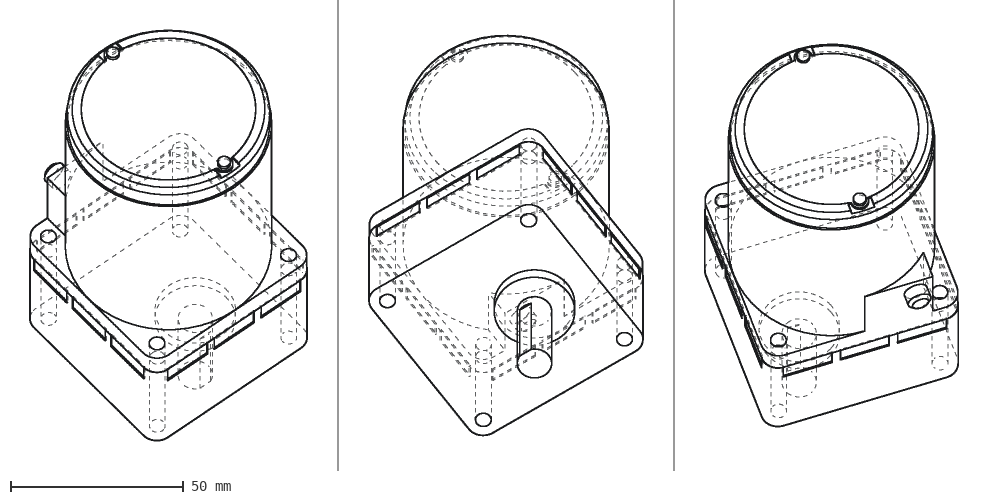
import cadquery as cq

box_bottom = 32.1
split_height = 66.0
flange_top = 73.0
block_top = 93.0
shell_top = 134.3
cap_top = 141.0
screw_top = 142.5

box_size = 60.0
box_corner_radius = 5.0
boss_diameter = 23.4
boss_height = 4.0
shaft_diameter = 10.0
shaft_offset = 10.0
shaft_flat_depth = 0.4
shaft_flat_length = 24.7

pocket_count = 3
pocket_gap = 2.5
pocket_height = 5.5
pocket_depth = 0.4
flat_width = box_size - 2 * box_corner_radius
pocket_width = (flat_width - (pocket_count - 1) * pocket_gap) / pocket_count
pocket_pitch = pocket_width + pocket_gap

hole_diameter = 4.5
hole_spacing = 49.5

flange_corner_radius = 5.3
shell_diameter = 59.9
cap_diameter = 58.7
cap_chamfer_height = 1.7
cap_chamfer_width = 1.4
block_width = 20.8

gland_diameter = 7.0
gland_length = 4.8
gland_dome_height = 0.4
gland_chamfer = 1.0
gland_y = -15.5
gland_height = 87.4

plate_diameter = 50.6
plate_rise = 0.07
ear_diameter = 5.1
notch_width = 7.0
notch_depth = 0.7
screw_diameter = 3.7
screw_dome_height = 0.4


def cylinder(diameter, bottom, top, x=0, y=0):
    return cq.Workplane("XY", origin=(x, y, bottom)).circle(diameter / 2).extrude(top - bottom)


def rounded_square(corner_radius, bottom, top):
    block = cq.Workplane("XY", origin=(0, 0, bottom)).rect(box_size, box_size).extrude(top - bottom)
    return block.edges("|Z").fillet(corner_radius)


def drill_mounting_holes(body):
    holes = (
        cq.Workplane("XY", origin=(0, 0, box_bottom))
        .rect(hole_spacing, hole_spacing, forConstruction=True)
        .vertices()
        .circle(hole_diameter / 2)
        .extrude(flange_top - box_bottom)
    )
    return body.cut(holes)


def make_pockets():
    """Cutters for the row of pockets on the -Y side."""
    return (
        cq.Workplane("XY", origin=(0, -box_size / 2, split_height - pocket_height))
        .rarray(pocket_pitch, 1.4, pocket_count, 1)
        .rect(pocket_width, 2 * pocket_depth)
        .extrude(pocket_height)
    )


def make_shaft():
    shaft = cylinder(shaft_diameter, 0, box_bottom, y=shaft_offset)
    flat_x = shaft_diameter / 2 - shaft_flat_depth
    flat_cutter = cq.Workplane("XY").box(
        shaft_flat_depth, shaft_diameter, shaft_flat_length, centered=(False, True, False)
    )
    return shaft.cut(flat_cutter.translate((flat_x, shaft_offset, 0)))


def make_gearhead():
    gearhead = rounded_square(box_corner_radius, box_bottom, split_height)
    for side in range(4):
        gearhead = gearhead.cut(make_pockets().rotate((0, 0, 0), (0, 0, 1), 90 * side))
    gearhead = drill_mounting_holes(gearhead)
    boss = cylinder(boss_diameter, box_bottom - boss_height, box_bottom, y=shaft_offset)
    return gearhead.union(boss).union(make_shaft())


def make_terminal_block():
    """Block beside the shell, flush with the -X side of the flange."""
    return cq.Workplane("XY", origin=(-box_size / 2, -block_width, flange_top)).box(
        box_size / 2, block_width, block_top - flange_top, centered=False
    )


def dome(diameter, height):
    """Spherical cap standing on the XY plane."""
    radius = diameter / 2
    sphere_radius = (radius**2 + height**2) / (2 * height)
    return (
        cq.Workplane("XZ")
        .lineTo(radius, 0)
        .radiusArc((0, height), -sphere_radius)
        .close()
        .revolve(360, (0, 0), (0, 1))
    )


def make_gland():
    """Upright gland turned to point along -X and set on the block."""
    body_length = gland_length - gland_dome_height
    body = cylinder(gland_diameter, 0, body_length).faces(">Z").chamfer(gland_chamfer)
    end_dome = dome(gland_diameter - 2 * gland_chamfer, gland_dome_height)
    gland = body.union(end_dome.translate((0, 0, body_length)))
    turned = gland.rotate((0, 0, 0), (0, 1, 0), -90)
    return turned.translate((-box_size / 2, gland_y, gland_height))


def make_screw(x):
    dome_base = screw_top - screw_dome_height
    shank = cylinder(screw_diameter, cap_top - notch_depth, dome_base, x=x)
    return shank.union(dome(screw_diameter, screw_dome_height).translate((x, 0, dome_base)))


def make_cap():
    cap = cylinder(cap_diameter, shell_top, cap_top)
    cap = cap.faces(">Z").chamfer(cap_chamfer_height, cap_chamfer_width)
    plate_bottom = cap_top - notch_depth
    plate_top = cap_top + plate_rise
    notches = cq.Workplane("XY", origin=(0, 0, plate_bottom))
    notches = notches.rect(cap_diameter, notch_width).extrude(notch_depth)
    cap = cap.cut(notches).union(cylinder(plate_diameter, plate_bottom, plate_top))
    for x in (-plate_diameter / 2, plate_diameter / 2):
        cap = cap.union(cylinder(ear_diameter, plate_bottom, plate_top, x=x)).union(make_screw(x))
    return cap


def make_motor():
    motor = drill_mounting_holes(rounded_square(flange_corner_radius, split_height, flange_top))
    motor = motor.union(cylinder(shell_diameter, flange_top, shell_top))
    return motor.union(make_terminal_block()).union(make_gland()).union(make_cap())


gearhead = make_gearhead()
motor = make_motor()
result = cq.Compound.makeCompound([gearhead.val(), motor.val()])